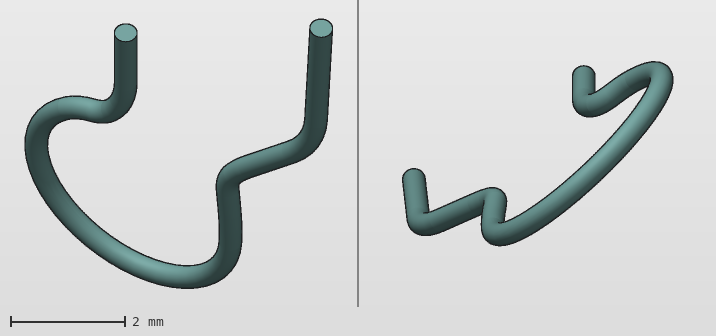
import cadquery as cq
import math

WIRE_DIAMETER = 0.4

SHORT_TIP_X = -0.15
SHORT_TIP_Z = 4.42
SHORT_TIP_HEADING = -90.0
SHORT_LEG_LENGTH = 1.4

SHORT_LEG_BENDS = [
    (1.9, -18.0),
    (1.4, -19.0),
    (0.70, -38.0),
    (1.24, 28.0),
]

LOOP_RADIUS = 2.0
LOOP_EXIT_HEADING = 88.0

LEAN_ANGLE = 6.0
LEAN_RADIUS = 8.3
LEAN_LENGTH = 0.60

KINK_RADIUS = 0.87
KINK_ANGLE = 36.0
EASING_RADIUS = 2.9
RAMP_HEADING = 48.6
RAMP_LENGTH = 1.36

LONG_LEG_BEND_RADIUS = 2.04
LONG_LEG_HEADING = 87.7
LONG_LEG_LENGTH = 2.655


class Centreline:
    """Chain of tangent straights and arcs, tracked by end point and heading."""

    def __init__(self, x, z, heading):
        self.x = x
        self.z = z
        self.heading = heading
        self.path = cq.Workplane("XZ").moveTo(x, z)

    def straight(self, length):
        angle = math.radians(self.heading)
        self.x += length * math.cos(angle)
        self.z += length * math.sin(angle)
        self.path = self.path.lineTo(self.x, self.z)

    def bend(self, radius, turn):
        side = math.copysign(radius, turn)
        start = math.radians(self.heading)
        centre_x = self.x - side * math.sin(start)
        centre_z = self.z + side * math.cos(start)

        def point_after(part_turn):
            angle = math.radians(self.heading + part_turn)
            return (centre_x + side * math.sin(angle), centre_z - side * math.cos(angle))

        middle = point_after(turn / 2)
        end = point_after(turn)
        self.path = self.path.threePointArc(middle, end)
        self.x, self.z = end
        self.heading += turn

    def bend_to(self, radius, heading):
        self.bend(radius, heading - self.heading)


def wire_centreline():
    line = Centreline(SHORT_TIP_X, SHORT_TIP_Z, SHORT_TIP_HEADING)
    line.straight(SHORT_LEG_LENGTH)
    for radius, turn in SHORT_LEG_BENDS:
        line.bend(radius, turn)
    line.bend_to(LOOP_RADIUS, LOOP_EXIT_HEADING)
    line.bend(LEAN_RADIUS, LEAN_ANGLE)
    line.straight(LEAN_LENGTH)
    line.bend(KINK_RADIUS, -KINK_ANGLE)
    line.bend_to(EASING_RADIUS, RAMP_HEADING)
    line.straight(RAMP_LENGTH)
    line.bend_to(LONG_LEG_BEND_RADIUS, LONG_LEG_HEADING)
    line.straight(LONG_LEG_LENGTH)
    return line.path


def bent_wire():
    tip = cq.Workplane("XY", origin=(SHORT_TIP_X, 0, SHORT_TIP_Z))
    return tip.circle(WIRE_DIAMETER / 2).sweep(wire_centreline())


result = bent_wire()